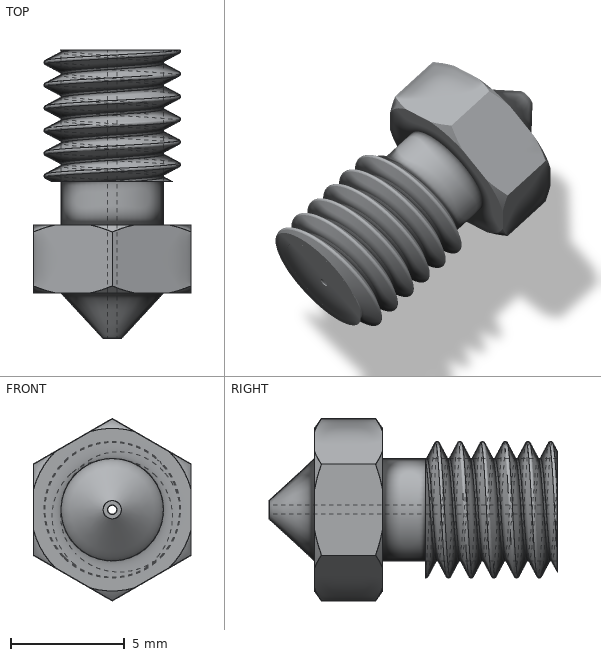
import cadquery as cq
import math


cone_length = 2.0
hex_length = 3.0
neck_length = 1.9
thread_length = 5.8
hex_start = cone_length
neck_start = hex_start + hex_length
thread_start = neck_start + neck_length
thread_end = thread_start + thread_length

across_flats = 6.95
across_corners = across_flats / math.cos(math.radians(30))
hex_face_diameter = 7.16
hex_chamfer_length = 0.31
neck_diameter = 4.5
cone_base_diameter = neck_diameter
tip_diameter = 0.8
orifice_diameter = 0.4

pitch = 1.0
thread_diameter = 6.0
core_diameter = 4.52
crest_width = 0.15
crest_rounding = 0.035
root_gap = 0.11
ridge_base_width = pitch - root_gap
crest_offset = 0.05
turns_before_end = 1 + math.ceil(thread_length / pitch)
turns = turns_before_end + 1


def cylinder(diameter, start, length):
    """Solid cylinder on the Y axis, reaching from Y = start towards +Y."""
    disc = cq.Workplane("XZ", origin=(0, start, 0)).circle(diameter / 2)
    return disc.extrude(-length)


def revolve_about_y(points):
    """Full turn of a closed (radius, Y) outline."""
    outline = cq.Workplane("XY").polyline(points).close()
    return outline.revolve(360, (0, 0, 0), (0, 1, 0))


def make_hexagon():
    """Hexagon with flats facing +X and -X, its corners coned off at both ends."""
    prism = (
        cq.Workplane("XZ", origin=(0, hex_start, 0))
        .transformed(rotate=(0, 0, 90))
        .polygon(6, across_corners)
        .extrude(-hex_length)
    )
    corner_radius = across_corners / 2
    face_radius = hex_face_diameter / 2
    envelope = revolve_about_y([
        (0, hex_start),
        (face_radius, hex_start),
        (corner_radius, hex_start + hex_chamfer_length),
        (corner_radius, neck_start - hex_chamfer_length),
        (face_radius, neck_start),
        (0, neck_start),
    ])
    return prism.intersect(envelope)


def make_nozzle():
    """Cone, hexagon, neck and thread core in one piece, with the orifice right through."""
    cone = revolve_about_y([
        (0, 0),
        (tip_diameter / 2, 0),
        (cone_base_diameter / 2, cone_length),
        (0, cone_length),
    ])
    neck = cylinder(neck_diameter, neck_start, neck_length)
    core = cylinder(core_diameter, thread_start, thread_length)
    orifice = cylinder(orifice_diameter, 0, thread_end)
    return make_hexagon().union(cone).union(neck).union(core).cut(orifice)


def make_thread():
    """Right-hand helical ridge wound on the core and cut flat at both ends."""
    core_radius = core_diameter / 2
    crest_radius = thread_diameter / 2
    shoulder_radius = crest_radius - crest_rounding
    helix = cq.Wire.makeHelix(pitch, turns * pitch, core_radius)
    ridge = (
        cq.Workplane("XZ")
        .moveTo(core_radius, -ridge_base_width / 2)
        .lineTo(shoulder_radius, -crest_width / 2)
        .threePointArc((crest_radius, 0), (shoulder_radius, crest_width / 2))
        .lineTo(core_radius, ridge_base_width / 2)
        .close()
        .sweep(cq.Workplane(helix), isFrenet=True)
    )
    ridge_start = thread_end - crest_offset - turns_before_end * pitch
    ridge = ridge.rotate((0, 0, 0), (1, 0, 0), -90).translate((0, ridge_start, 0))
    threaded_stretch = cylinder(2 * thread_diameter, thread_start, thread_length)
    return ridge.intersect(threaded_stretch)


nozzle = make_nozzle()
thread = make_thread()

result = cq.Compound.makeCompound([nozzle.val(), *thread.vals()])